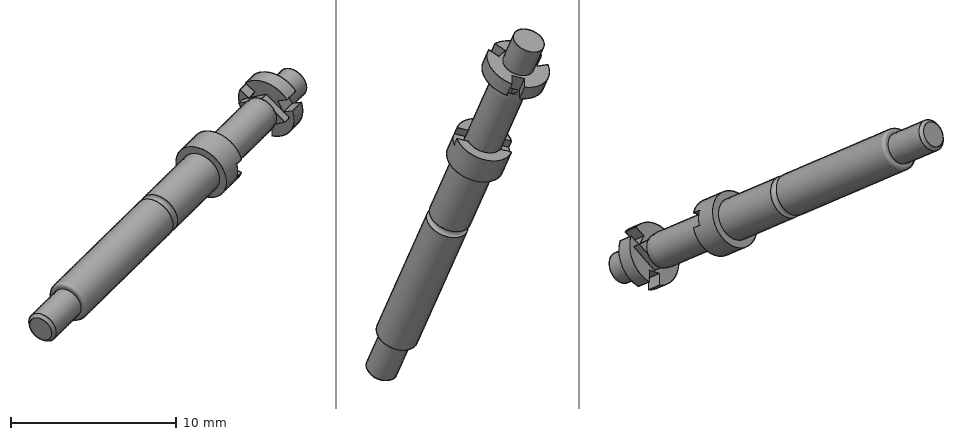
import cadquery as cq
import math


barrel_front = 3.0
groove_centre = 13.02
collar_front = 18.0
collar_back = 19.8
neck_front = 24.37
hub_front = 24.8
flange_front = 25.3
flange_back = 26.3
total_length = 28.3

pin_radius = 1.0
barrel_radius = 1.33
collar_radius = 1.8
tube_radius = 1.13
neck_radius = 1.08
flange_radius = 1.995

tip_chamfer = 0.2
barrel_fillet = 0.2
groove_radius = 0.25

notch_width = 1.0
notch_depth = 0.55
notch_floor = collar_back - notch_depth
slot_width = 0.8
slot_floor_offset = 1.2
slot_angles = (30, 150, 270)
hub_half_width = 1.67
hub_half_height = 1.1


def revolve_about_y(profile):
    """Turn a closed half profile, with radius along X, about the Y axis."""
    return profile.revolve(360, (0, 0, 0), (0, 1, 0))


def make_disc(radius, start, end):
    """Round bar along Y between two stations."""
    return cq.Workplane("XZ", origin=(0, start, 0)).circle(radius).extrude(start - end)


def make_barrel():
    """Chamfered plunger tip, grooved barrel and collar."""
    fillet_middle = barrel_fillet * (1 - math.sqrt(0.5))
    profile = (
        cq.Workplane("XY")
        .lineTo(pin_radius - tip_chamfer, 0)
        .lineTo(pin_radius, tip_chamfer)
        .lineTo(pin_radius, barrel_front)
        .lineTo(barrel_radius - barrel_fillet, barrel_front)
        .threePointArc(
            (barrel_radius - fillet_middle, barrel_front + fillet_middle),
            (barrel_radius, barrel_front + barrel_fillet),
        )
        .lineTo(barrel_radius, groove_centre - groove_radius)
        .threePointArc(
            (barrel_radius - groove_radius, groove_centre),
            (barrel_radius, groove_centre + groove_radius),
        )
        .lineTo(barrel_radius, collar_front)
        .lineTo(collar_radius, collar_front)
        .lineTo(collar_radius, collar_back)
        .lineTo(0, collar_back)
        .close()
    )
    return revolve_about_y(profile)


def make_notch_cutter():
    """Straight channel along X across the back of the collar; the tube refills its middle."""
    channel = cq.Workplane("XY").box(2 * collar_radius, notch_depth, notch_width)
    return channel.translate((0, notch_floor + notch_depth / 2, 0))


def make_tube():
    """Rear tube, rising from the notch floor and tapering to a neck at the hub."""
    profile = (
        cq.Workplane("XY")
        .moveTo(0, notch_floor)
        .lineTo(tube_radius, notch_floor)
        .lineTo(tube_radius, neck_front)
        .lineTo(neck_radius, hub_front)
        .lineTo(0, hub_front)
        .close()
    )
    return revolve_about_y(profile)


def make_hub():
    """Diamond-shaped key between the neck and the flange, long axis along X."""
    corners = [
        (hub_half_width, 0),
        (0, hub_half_height),
        (-hub_half_width, 0),
        (0, -hub_half_height),
    ]
    hub = cq.Workplane("XZ", origin=(0, hub_front, 0)).polyline(corners).close()
    return hub.extrude(hub_front - flange_front)


def make_flange():
    """Round flange with flat-bottomed radial slots open to its rim."""
    flange = make_disc(flange_radius, flange_front, flange_back)
    thickness = flange_back - flange_front
    slot = cq.Workplane("XY").box(flange_radius, thickness, slot_width, centered=(False, False, True))
    slot = slot.translate((slot_floor_offset, flange_front, 0))
    for angle in slot_angles:
        flange = flange.cut(slot.rotate((0, 0, 0), (0, 1, 0), -angle))
    return flange


result = (
    make_barrel()
    .cut(make_notch_cutter())
    .union(make_tube())
    .union(make_hub())
    .union(make_flange())
    .union(make_disc(pin_radius, flange_front, total_length))
)